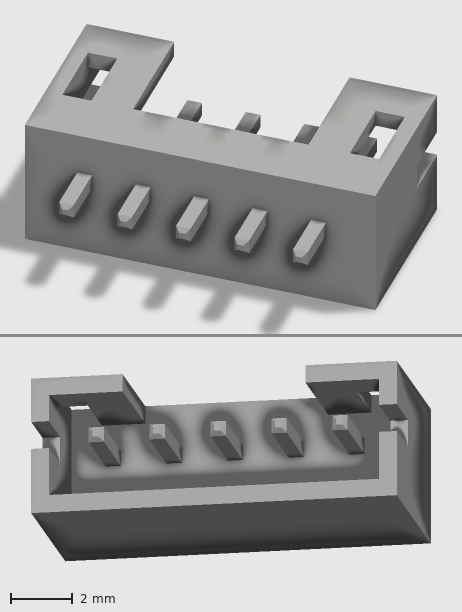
import cadquery as cq

LENGTH = 12.0
DEPTH = 6.0
HEIGHT = 4.5
WALL = 0.58
BASE_DEPTH = 2.0

WINDOW_LENGTH = 6.0
SLOT_LENGTH = 1.0
SLOT_DEPTH = 2.5
NOTCH_DEPTH = 1.98
NOTCH_HEIGHT = 0.9
NOTCH_BOTTOM = 2.15

PIN_COUNT = 5
PIN_PITCH = 2.0
PIN_SIZE = 0.5
PIN_OFFSET = 0.05
PIN_Z = 2.8
PIN_FRONT = -1.91
PIN_BACK = 5.15
TIP_LENGTH = 0.15
TIP_SIZE = 0.21


def block(x, y, z, size_x, size_y, size_z):
    """Box with its low corner at (x, y, z)."""
    return cq.Workplane("XY").box(size_x, size_y, size_z, centered=False).translate((x, y, z))


def make_housing():
    """Shrouded housing, open to +Y, with its wall openings."""
    housing = block(0, 0, 0, LENGTH, DEPTH, HEIGHT)
    cavity_depth = DEPTH - BASE_DEPTH
    roof_bottom = HEIGHT - WALL
    cavity_length = LENGTH - 2 * WALL
    cavity = block(WALL, BASE_DEPTH, WALL, cavity_length, cavity_depth, roof_bottom - WALL)
    window_x = (LENGTH - WINDOW_LENGTH) / 2
    window = block(window_x, BASE_DEPTH, roof_bottom, WINDOW_LENGTH, cavity_depth, WALL)
    notch = block(0, DEPTH - NOTCH_DEPTH, NOTCH_BOTTOM, LENGTH, NOTCH_DEPTH, NOTCH_HEIGHT)
    housing = housing.cut(cavity).cut(window).cut(notch)
    for slot_x in (WALL, LENGTH - WALL - SLOT_LENGTH):
        housing = housing.cut(block(slot_x, BASE_DEPTH, roof_bottom, SLOT_LENGTH, SLOT_DEPTH, WALL))
    return housing


def pin_tip(x, shoulder_y, end_y):
    """Square frustum narrowing from the pin section to the tip section."""
    return (
        cq.Workplane("XZ", origin=(x, shoulder_y, PIN_Z))
        .rect(PIN_SIZE, PIN_SIZE)
        .workplane(offset=shoulder_y - end_y)
        .rect(TIP_SIZE, TIP_SIZE)
        .loft(ruled=True)
    )


def make_pin(x):
    """Straight square pin along Y with tapered ends."""
    front_shoulder = PIN_FRONT + TIP_LENGTH
    back_shoulder = PIN_BACK - TIP_LENGTH
    corner_x = x - PIN_SIZE / 2
    corner_z = PIN_Z - PIN_SIZE / 2
    shaft = block(corner_x, front_shoulder, corner_z, PIN_SIZE, back_shoulder - front_shoulder, PIN_SIZE)
    return shaft.union(pin_tip(x, front_shoulder, PIN_FRONT)).union(pin_tip(x, back_shoulder, PIN_BACK))


result = make_housing()
first_pin_x = LENGTH / 2 + PIN_OFFSET - PIN_PITCH * (PIN_COUNT - 1) / 2
for index in range(PIN_COUNT):
    result = result.union(make_pin(first_pin_x + index * PIN_PITCH))